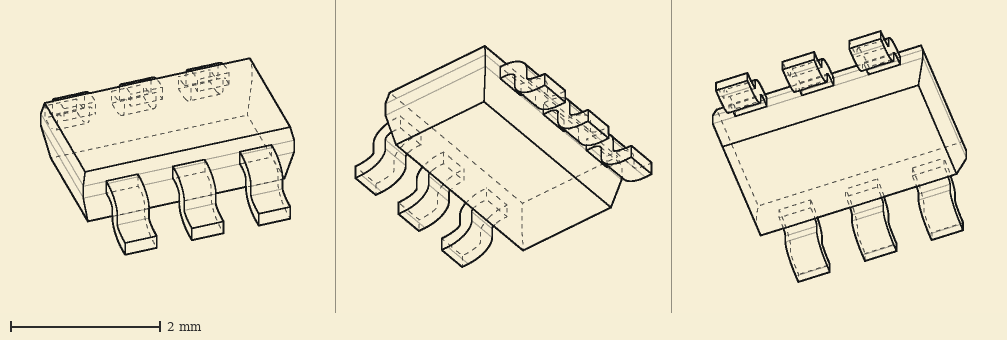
import cadquery as cq
import math

span_x = 3.2
height = 0.9

body_x = 1.69
body_y = 3.0
band_bottom = 0.5
band_top = 0.7
top_inset = 0.04
bottom_inset = 0.102

lead_width = 0.45
lead_pitch = 0.95
leads_per_side = 3
lead_thickness = band_top - band_bottom
shank_outer_x = 1.293
shank_inner_x = shank_outer_x - lead_thickness

shoulder_outer_radii = (0.397, 0.253)
shoulder_inner_radii = (0.173, 0.09)
heel_outer_radii = (0.403, 0.255)
heel_inner_radii = (span_x / 2 - shank_outer_x, 0.085)

quarter_arc_handle = 4 / 3 * (math.sqrt(2) - 1)


def tapered_block(base_z, block_height, inset):
    """Band-sized rectangle at base_z, narrowing by inset over a signed height."""
    taper_angle = math.degrees(math.atan(inset / abs(block_height)))
    return (
        cq.Workplane("XY", origin=(0, 0, base_z))
        .rect(body_x, body_y)
        .extrude(block_height, taper=taper_angle)
    )


def make_body():
    band = tapered_block(band_bottom, lead_thickness, 0)
    upper = tapered_block(band_top, height - band_top, top_inset)
    lower = tapered_block(band_bottom, -band_bottom, bottom_inset)
    return band.union(upper).union(lower)


def quarter_bend(profile, start, end, corner):
    """Add a quarter ellipse tangent to the two lines that meet at corner."""
    handles = [
        tuple(p + quarter_arc_handle * (c - p) for p, c in zip(point, corner))
        for point in (start, end)
    ]
    return profile.lineTo(*start).bezier([start, *handles, end])


def make_lead(center_y):
    """Lead on the +X side, butting against the band of the body."""
    toe_x = span_x / 2
    profile = cq.Workplane("XZ", origin=(0, center_y + lead_width / 2, 0)).moveTo(body_x / 2, band_top)

    radius_x, radius_z = shoulder_outer_radii
    profile = quarter_bend(
        profile,
        (shank_outer_x - radius_x, band_top),
        (shank_outer_x, band_top - radius_z),
        (shank_outer_x, band_top),
    )
    radius_x, radius_z = heel_inner_radii
    profile = quarter_bend(
        profile,
        (shank_outer_x, lead_thickness + radius_z),
        (shank_outer_x + radius_x, lead_thickness),
        (shank_outer_x, lead_thickness),
    )

    profile = profile.lineTo(toe_x, 0)
    radius_x, radius_z = heel_outer_radii
    profile = quarter_bend(
        profile,
        (shank_inner_x + radius_x, 0),
        (shank_inner_x, radius_z),
        (shank_inner_x, 0),
    )
    radius_x, radius_z = shoulder_inner_radii
    profile = quarter_bend(
        profile,
        (shank_inner_x, band_bottom - radius_z),
        (shank_inner_x - radius_x, band_bottom),
        (shank_inner_x, band_bottom),
    )
    return profile.lineTo(body_x / 2, band_bottom).close().extrude(lead_width)


body = make_body()

leads = []
for index in range(leads_per_side):
    lead = make_lead((index - (leads_per_side - 1) / 2) * lead_pitch)
    leads.append(lead.val())
    leads.append(lead.mirror("YZ").val())

result = cq.Compound.makeCompound([body.val(), *leads])